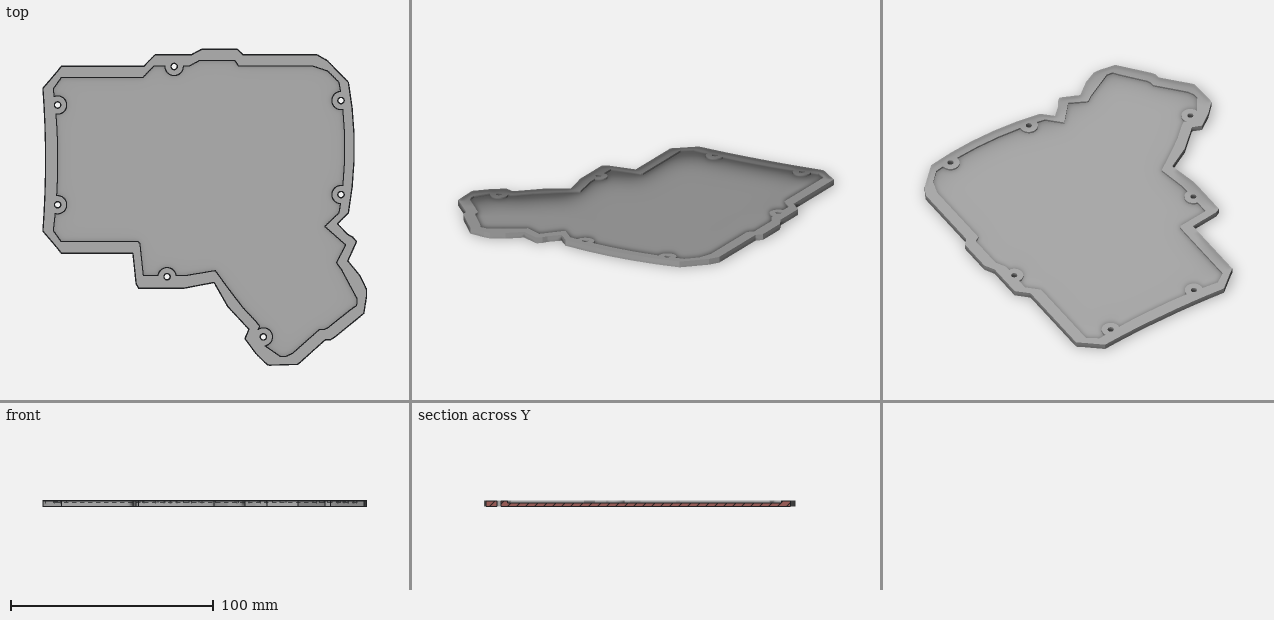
import cadquery as cq

LENGTH_X = 159.78
LENGTH_Y = 155.99
THICKNESS = 3.0
POCKET_DEPTH = 1.0
HOLE_DIAMETER = 3.0
BOSS_DIAMETER = 9.0

LEFT_MID_Y = 101.4
LEFT_HALF_HEIGHT = 46.2
LEFT_SIDE_HALF = 35.2
LEFT_SIDE_HOLLOW = 1.3
LEFT_SIDE_FACETS = 8
TOP_Y = LEFT_MID_Y + LEFT_HALF_HEIGHT
BOTTOM_Y = LEFT_MID_Y - LEFT_HALF_HEIGHT

RIGHT_MID_Y = 107.4
RIGHT_HALF_HEIGHT = 32.2
RIGHT_CORNER_X = 150.8
RIGHT_BULGE = 2.9

TOP_STEP_Y = 153.3
SHELF_Y = 37.9

RIM_WIDTH = 5.75
POCKET_TOP_Y = TOP_Y - RIM_WIDTH
POCKET_STEP_Y = TOP_STEP_Y - RIM_WIDTH
POCKET_PEAK_Y = LENGTH_Y - RIM_WIDTH
POCKET_BOTTOM_Y = BOTTOM_Y + RIM_WIDTH
POCKET_SHELF_Y = 44.2

POCKET_LEFT_X = 5.2
POCKET_LEFT_HALF = 35.0
POCKET_LEFT_HOLLOW = 2.2
POCKET_RIGHT_X = 146.1

LEFT_HOLE_X = 7.3
LEFT_HOLE_SPACING = 49.2
LEFT_HOLES_MID_Y = 103.8
RIGHT_HOLE_X = 147.1
RIGHT_HOLE_SPACING = 46.4
TOP_HOLE = (64.8, 147.4)
SHELF_HOLE = (61.3, 43.7)
TAIL_HOLE = (108.8, 14.0)
HOLE_CENTRES = [
    (LEFT_HOLE_X, LEFT_HOLES_MID_Y + LEFT_HOLE_SPACING / 2),
    (LEFT_HOLE_X, LEFT_HOLES_MID_Y - LEFT_HOLE_SPACING / 2),
    (RIGHT_HOLE_X, RIGHT_MID_Y + RIGHT_HOLE_SPACING / 2),
    (RIGHT_HOLE_X, RIGHT_MID_Y - RIGHT_HOLE_SPACING / 2),
    TOP_HOLE,
    SHELF_HOLE,
    TAIL_HOLE,
]


def mirrored_left(points):
    """Mirror points about the middle of the left end, in reverse order."""
    return [(x, 2 * LEFT_MID_Y - y) for x, y in reversed(points)]


def hollow_left_side(corner_x, half_length, hollow):
    """Points of the faceted left side, from its lower to its upper corner.

    The bow is parabolic; the two facets at the middle are merged into one.
    """
    points = []
    for step in range(LEFT_SIDE_FACETS + 1):
        position = 2 * step / LEFT_SIDE_FACETS - 1
        if position != 0:
            inset = hollow * (1 - position ** 2)
            points.append((corner_x + inset, LEFT_MID_Y + position * half_length))
    return points


def closed_outline(before_bulge, bulge_x, after_bulge):
    """Clockwise closed outline whose right side is an arc between two polylines."""
    return (
        cq.Workplane("XY")
        .polyline(before_bulge)
        .threePointArc((bulge_x, RIGHT_MID_Y), after_bulge[0])
        .polyline(after_bulge[1:], includeCurrent=True)
        .close()
    )


def plate_outline():
    left_side = hollow_left_side(0, LEFT_SIDE_HALF, LEFT_SIDE_HOLLOW)
    upper_left_corner = [(6.9, 144.7), (9.2, TOP_Y)]
    top_edge = [
        (49.9, TOP_Y),
        (55.5, TOP_STEP_Y),
        (73.4, TOP_STEP_Y),
        (78.5, LENGTH_Y),
        (95.9, LENGTH_Y),
        (98.7, TOP_STEP_Y),
        (135.1, TOP_STEP_Y),
        (140.2, 150.4),
        (147.0, 143.5),
        (RIGHT_CORNER_X, RIGHT_MID_Y + RIGHT_HALF_HEIGHT),
    ]
    neck_right = [
        (RIGHT_CORNER_X, RIGHT_MID_Y - RIGHT_HALF_HEIGHT),
        (145.4, 69.8),
        (150.3, 64.7),
        (152.9, 63.2),
        (154.8, 61.0),
        (150.5, 51.5),
    ]
    tail = [
        (156.4, 44.3),
        (LENGTH_X, 37.4),
        (LENGTH_X, 34.2),
        (158.4, 25.6),
        (144.2, 14.0),
        (141.9, 12.5),
        (139.3, 12.5),
        (125.8, 0.4),
        (111.9, 0),
        (110.7, 0.3),
        (105.0, 5.9),
        (99.7, 13.1),
        (101.6, 17.8),
    ]
    neck_left = [(91.2, 29.0), (84.5, 40.8)]
    shelf = [(69.2, SHELF_Y), (47.3, SHELF_Y), (46.0, 40.2), (44.4, BOTTOM_Y)]
    lower_left_corner = mirrored_left(upper_left_corner)
    return closed_outline(
        left_side + upper_left_corner + top_edge,
        RIGHT_CORNER_X + RIGHT_BULGE,
        neck_right + tail + neck_left + shelf + lower_left_corner,
    )


def pocket_outline():
    left_side = hollow_left_side(POCKET_LEFT_X, POCKET_LEFT_HALF, POCKET_LEFT_HOLLOW)
    upper_left_corner = [(9.1, POCKET_TOP_Y)]
    top_edge = [
        (49.2, POCKET_TOP_Y),
        (54.8, POCKET_STEP_Y),
        (72.1, POCKET_STEP_Y),
        (77.1, POCKET_PEAK_Y),
        (94.8, POCKET_PEAK_Y),
        (96.6, POCKET_STEP_Y),
        (133.3, POCKET_STEP_Y),
        (140.5, 145.2),
        (143.4, 142.3),
        (POCKET_RIGHT_X, RIGHT_MID_Y + RIGHT_HALF_HEIGHT),
    ]
    neck_right = [
        (POCKET_RIGHT_X, RIGHT_MID_Y - RIGHT_HALF_HEIGHT),
        (139.1, 68.5),
        (149.4, 59.4),
        (144.9, 50.6),
        (147.4, 47.1),
    ]
    tail = [
        (155.1, 32.7),
        (154.8, 29.5),
        (151.5, 27.2),
        (140.5, 18.4),
        (138.8, 17.7),
        (136.5, 17.7),
        (123.2, 5.9),
        (120.0, 4.4),
        (117.1, 4.4),
        (109.6, 9.6),
        (106.2, 17.7),
        (107.0, 19.2),
    ]
    neck_left = [(105.0, 21.8), (99.0, 28.1), (91.7, 37.6), (85.1, 46.7)]
    shelf = [(70.1, POCKET_SHELF_Y), (49.6, POCKET_SHELF_Y), (47.9, 60.1), (47.0, POCKET_BOTTOM_Y)]
    lower_left_corner = mirrored_left(upper_left_corner)
    return closed_outline(
        left_side + upper_left_corner + top_edge,
        POCKET_RIGHT_X + RIGHT_BULGE,
        neck_right + tail + neck_left + shelf + lower_left_corner,
    )


def cylinders_at_holes(diameter):
    """Cylinders through the full thickness at every hole centre."""
    return cq.Workplane("XY").pushPoints(HOLE_CENTRES).circle(diameter / 2).extrude(THICKNESS)


plate = plate_outline().extrude(THICKNESS)
pocket = pocket_outline().extrude(POCKET_DEPTH).translate((0, 0, THICKNESS - POCKET_DEPTH))

pocket = pocket.cut(cylinders_at_holes(BOSS_DIAMETER))

result = plate.cut(pocket).cut(cylinders_at_holes(HOLE_DIAMETER))